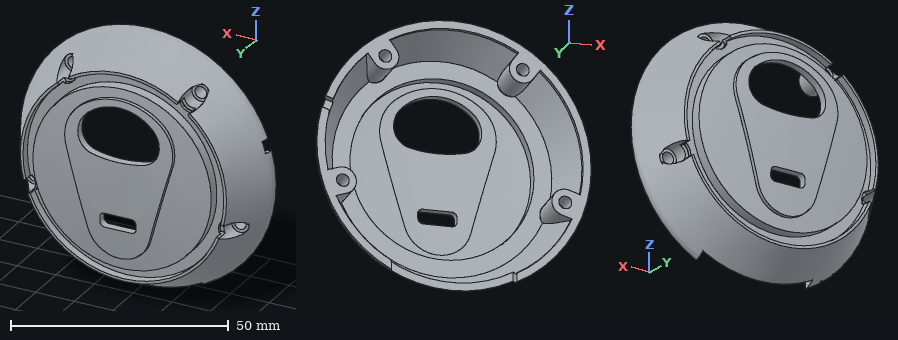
import cadquery as cq
import math


RIM_RADIUS = 32.85
BACK_RADIUS = 26.7
BACK_Y = 12.9
TAPER_START_Y = 1.0
RIM_BLEND_RADIUS = 3.3
LIP_RADIUS = 30.9
LIP_DEPTH = 1.0
FLOOR_RADIUS = 26.3
FLOOR_Y = 9.8

SHELL_THICKNESS = 1.05
DOME_RADIUS = 22.0
DOME_EDGE_Y = 12.5
DOME_APEX_Y = 13.8
APEX_FLAT_RADIUS = 1.05
COLLAR_RADIUS = DOME_RADIUS + SHELL_THICKNESS
COLLAR_EDGE_Y = DOME_EDGE_Y + SHELL_THICKNESS
INSERT_APEX_Y = 15.95

GROOVE_OUTER_RADIUS = 25.95
GROOVE_FLOOR_Y = 10.7

BOSS_CIRCLE_RADIUS = 28.0
BOSS_ANGLES = (54.0, 126.0, 198.0, 342.0)
BOSS_RADIUS = 3.2
SCREW_HOLE_RADIUS = 1.5
POCKET_RADIUS = 2.3
POCKET_FLOOR_Y = 6.0
RELIEF_RADIUS = 3.15
RELIEF_WIDTH = 3.55
RELIEF_FLOOR_Y = 9.7

NOTCH_ANGLE = 162.0
NOTCH_WIDTH = 2.95
NOTCH_DEPTH = 2.0
CUTOUT_WIDTH = 30.0
CUTOUT_DEPTH = 2.95
CUTOUT_TOP_Z = -19.7

INSERT_TOP_Z = 20.6
INSERT_BOTTOM_Z = -19.85
SIDE_TOP = (13.6, 6.6)
SIDE_BOTTOM = (7.8, -13.9)
SHOULDER_RADIUS = 9.85

OVAL_TOP_Z = 18.8
OVAL_BOTTOM_Z = 5.25
OVAL_SIDE = (10.5, 10.8)
OVAL_UPPER_CORNER_RADIUS = 6.25
OVAL_LOWER_CORNER_RADIUS = 4.9
SLOT_WIDTH = 9.3
SLOT_HEIGHT = 3.6
SLOT_CENTRE_Z = -10.5
SLOT_CORNER_RADIUS = 1.25

THROUGH = 39.4


def front_plane(y):
    """Plane facing -Y, with local x along X and local y along Z."""
    return cq.Workplane("XZ", origin=(0, y, 0))


def prism(outline, start_y, end_y):
    """Extrude an outline drawn by `outline(plane)` between two Y levels."""
    return outline(front_plane(start_y)).extrude(start_y - end_y)


def spin(profile):
    """Revolve a (radius, Y) profile around the Y axis."""
    return profile.close().revolve(360, (0, 0, 0), (0, 1, 0))


def mirrored(point):
    """Matching point on the -X side."""
    return (-point[0], point[1])


def crown_join(corner_centre, corner_radius, crown_z):
    """Point where a corner arc runs smoothly into an arc that crosses X = 0 at crown_z.

    The crown arc is centred on X = 0 and is the larger of the two.
    """
    x, z = corner_centre
    side = math.copysign(1, crown_z - z)
    drop = abs(crown_z - z)
    crown_radius = (x**2 + drop**2 - corner_radius**2) / (2 * (drop - corner_radius))
    crown_centre_z = crown_z - side * crown_radius
    stretch = crown_radius / (crown_radius - corner_radius)
    return stretch * x, crown_centre_z + stretch * (z - crown_centre_z)


def dome_arc_middle(apex_y, edge_radius, edge_y):
    """Point halfway out on the shallow arc from the apex to the edge."""
    sag = apex_y - edge_y
    sphere_radius = (edge_radius**2 + sag**2) / (2 * sag)
    radius = edge_radius / 2
    return radius, apex_y - sphere_radius + math.sqrt(sphere_radius**2 - radius**2)


def dome_solid(apex_y, edge_radius, edge_y, base_y):
    """Plug with a domed end towards +Y."""
    middle = dome_arc_middle(apex_y, edge_radius, edge_y)
    return spin(
        cq.Workplane("XY")
        .moveTo(0, base_y)
        .lineTo(edge_radius, base_y)
        .lineTo(edge_radius, edge_y)
        .threePointArc(middle, (0, apex_y))
    )


def dome_hollow():
    """Space under the dome, with a small flat at its apex."""
    middle = dome_arc_middle(DOME_APEX_Y, DOME_RADIUS, DOME_EDGE_Y)
    return spin(
        cq.Workplane("XY")
        .lineTo(DOME_RADIUS, 0)
        .lineTo(DOME_RADIUS, DOME_EDGE_Y)
        .threePointArc(middle, (APEX_FLAT_RADIUS, DOME_APEX_Y))
        .lineTo(0, DOME_APEX_Y)
    )


def outer_envelope():
    """Solid tapered disc with a blend between the taper and the straight rim."""
    taper = math.atan2(RIM_RADIUS - BACK_RADIUS, BACK_Y - TAPER_START_Y)
    setback = RIM_BLEND_RADIUS * math.tan(taper / 2)
    blend_centre = (RIM_RADIUS - RIM_BLEND_RADIUS, TAPER_START_Y - setback)
    blend_end = (
        blend_centre[0] + RIM_BLEND_RADIUS * math.cos(taper),
        blend_centre[1] + RIM_BLEND_RADIUS * math.sin(taper),
    )
    blend_middle = (
        blend_centre[0] + RIM_BLEND_RADIUS * math.cos(taper / 2),
        blend_centre[1] + RIM_BLEND_RADIUS * math.sin(taper / 2),
    )
    return spin(
        cq.Workplane("XY")
        .lineTo(RIM_RADIUS, 0)
        .lineTo(RIM_RADIUS, blend_centre[1])
        .threePointArc(blend_middle, blend_end)
        .lineTo(BACK_RADIUS, BACK_Y)
        .lineTo(0, BACK_Y)
    )


def inner_cavity():
    """Space inside the tapered wall, with a short straight lip at the rim."""
    return spin(
        cq.Workplane("XY")
        .lineTo(LIP_RADIUS, 0)
        .lineTo(LIP_RADIUS, LIP_DEPTH)
        .lineTo(FLOOR_RADIUS, FLOOR_Y)
        .lineTo(0, FLOOR_Y)
    )


def back_groove():
    """Ring-shaped groove around the collar."""
    return prism(
        lambda plane: plane.circle(GROOVE_OUTER_RADIUS).circle(COLLAR_RADIUS), GROOVE_FLOOR_Y, BACK_Y
    )


def at_angle(shape, angle):
    """Turn a shape built on the +X axis to a place seen from -Y, anticlockwise from +X."""
    return shape.rotate((0, 0, 0), (0, 1, 0), -angle)


def boss_disc(radius, start_y, end_y):
    """Cylinder on the axis of a boss."""
    return prism(lambda plane: plane.center(BOSS_CIRCLE_RADIUS, 0).circle(radius), start_y, end_y)


def radial_block(start_radius, end_radius, width, start_y, end_y):
    """Block along the +X axis between two distances from the part's axis."""
    middle = (start_radius + end_radius) / 2
    length = end_radius - start_radius
    return prism(lambda plane: plane.center(middle, 0).rect(length, width), start_y, end_y)


def boss():
    """Round boss joined to the wall by a straight-sided web."""
    web = radial_block(BOSS_CIRCLE_RADIUS, RIM_RADIUS, 2 * BOSS_RADIUS, 0, FLOOR_Y)
    return boss_disc(BOSS_RADIUS, 0, FLOOR_Y).union(web)


def boss_cuts():
    """Screw hole, screw head pocket and the relief between the pocket and the groove."""
    hole = boss_disc(SCREW_HOLE_RADIUS, 0, BACK_Y)
    pocket = boss_disc(POCKET_RADIUS, POCKET_FLOOR_Y, BACK_Y)
    relief_start = BOSS_CIRCLE_RADIUS - RELIEF_RADIUS
    relief_slot = radial_block(relief_start, BOSS_CIRCLE_RADIUS, RELIEF_WIDTH, RELIEF_FLOOR_Y, BACK_Y)
    relief = boss_disc(RELIEF_RADIUS, RELIEF_FLOOR_Y, BACK_Y).intersect(relief_slot)
    return hole.union(pocket).union(relief)


def rim_notch():
    """Small radial notch in the rim."""
    notch = radial_block(FLOOR_RADIUS, THROUGH, NOTCH_WIDTH, 0, NOTCH_DEPTH)
    return at_angle(notch, NOTCH_ANGLE)


def rim_cutout():
    """Wide step in the bottom of the rim."""
    height = RIM_RADIUS + CUTOUT_TOP_Z
    return prism(
        lambda plane: plane.center(0, CUTOUT_TOP_Z - height / 2).rect(CUTOUT_WIDTH, height), 0, CUTOUT_DEPTH
    )


def insert_outline(plane):
    """Closed outline of the insert."""
    (top_x, top_z), (bottom_x, bottom_z) = SIDE_TOP, SIDE_BOTTOM
    lean = math.atan2(top_x - bottom_x, top_z - bottom_z)
    shoulder_centre = (
        top_x - SHOULDER_RADIUS * math.cos(lean),
        top_z + SHOULDER_RADIUS * math.sin(lean),
    )
    shoulder_end = crown_join(shoulder_centre, SHOULDER_RADIUS, INSERT_TOP_Z)
    return (
        plane.moveTo(*SIDE_BOTTOM)
        .lineTo(*SIDE_TOP)
        .tangentArcPoint(shoulder_end, relative=False)
        .threePointArc((0, INSERT_TOP_Z), mirrored(shoulder_end))
        .tangentArcPoint(mirrored(SIDE_TOP), relative=False)
        .lineTo(*mirrored(SIDE_BOTTOM))
        .threePointArc((0, INSERT_BOTTOM_Z), SIDE_BOTTOM)
        .close()
    )


def oval_outline(plane):
    """Egg-shaped opening, flatter at the bottom."""
    side_x, side_z = OVAL_SIDE
    upper_end = crown_join(
        (side_x - OVAL_UPPER_CORNER_RADIUS, side_z), OVAL_UPPER_CORNER_RADIUS, OVAL_TOP_Z
    )
    lower_end = crown_join(
        (side_x - OVAL_LOWER_CORNER_RADIUS, side_z), OVAL_LOWER_CORNER_RADIUS, OVAL_BOTTOM_Z
    )
    return (
        plane.moveTo(*mirrored(upper_end))
        .threePointArc((0, OVAL_TOP_Z), upper_end)
        .tangentArcPoint(OVAL_SIDE, relative=False)
        .tangentArcPoint(lower_end, relative=False)
        .threePointArc((0, OVAL_BOTTOM_Z), mirrored(lower_end))
        .tangentArcPoint(mirrored(OVAL_SIDE), relative=False)
        .tangentArcPoint(mirrored(upper_end), relative=False)
        .close()
    )


def insert_blank():
    """Prism with the insert's outline, also used to cut its seat in the housing."""
    return prism(insert_outline, 0, THROUGH)


def make_housing():
    """Tapered shell with its bosses, dome and rim openings."""
    envelope = outer_envelope()
    body = envelope.cut(inner_cavity())
    for angle in BOSS_ANGLES:
        body = body.union(at_angle(boss(), angle).intersect(envelope))
    body = body.union(
        dome_solid(DOME_APEX_Y + SHELL_THICKNESS, COLLAR_RADIUS, COLLAR_EDGE_Y, FLOOR_Y)
    )
    body = body.cut(dome_hollow()).cut(back_groove())
    for angle in BOSS_ANGLES:
        body = body.cut(at_angle(boss_cuts(), angle))
    return body.cut(rim_notch()).cut(rim_cutout()).cut(insert_blank())


def make_insert():
    """Raised plate that fills the dome's opening and stands proud of its back."""
    rise = INSERT_APEX_Y - DOME_APEX_Y
    body = dome_solid(INSERT_APEX_Y, DOME_RADIUS, DOME_EDGE_Y + rise, FLOOR_Y)
    body = body.intersect(insert_blank()).cut(dome_hollow())
    slot = prism(lambda plane: plane.center(0, SLOT_CENTRE_Z).rect(SLOT_WIDTH, SLOT_HEIGHT), 0, THROUGH)
    slot = slot.edges("|Y").fillet(SLOT_CORNER_RADIUS)
    return body.cut(prism(oval_outline, 0, THROUGH)).cut(slot)


housing = make_housing()
insert = make_insert()

result = cq.Compound.makeCompound([housing.solids().val(), insert.solids().val()])